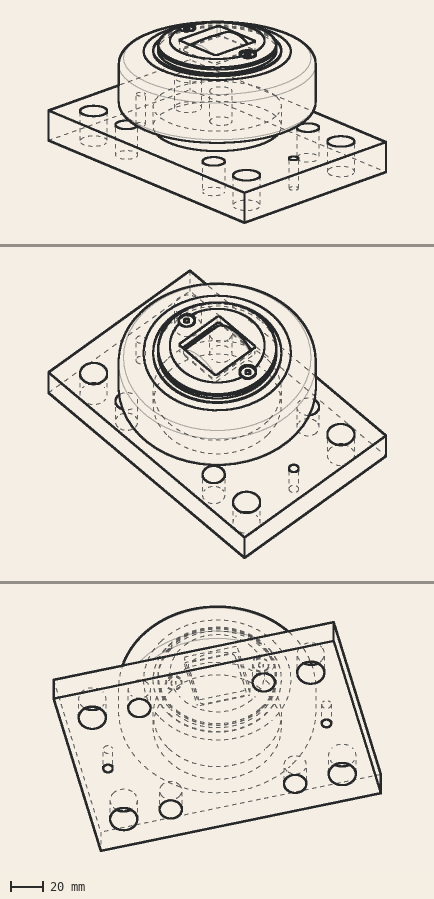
import cadquery as cq
import math

plate_length = 180
plate_width = 120.0
plate_height = 20.3
bolt_diameter = 17.0
bolt_x = 70.2
bolt_y = 40.0
inner_bolt_diameter = 13.9
inner_bolt_offset = 40.0
pin_diameter = 6.0

hub_diameter = 80.0
hub_top = 71.6

wheel_diameter = 123.0
wheel_radius = wheel_diameter / 2
wheel_bottom = 33.8
wheel_top = 71.0
wheel_bottom_fillet = 3.2
wheel_top_fillet = 4.7
cone_top_radius = 45.9
cone_angle = 20

cap_diameter = 74.0
cap_radius = cap_diameter / 2
cap_face_radius = 29.5
cap_rim_top = 75.6
cap_seam = 74.2
cap_upper_radius = 36.7
cap_top = cap_rim_top + (cap_upper_radius - cap_face_radius) * math.tan(math.radians(cone_angle))

screw_x = 28.0
screw_recess_diameter = 10.5
screw_diameter = 9.7
screw_recess_depth = 1.0
screw_head_gap = 0.5
socket_diameter = 3.2
socket_depth = 0.9

pocket_size = 34.0
pocket_corner = 1.5
overall_height = 79.5
roller_radius = 20.0
roller_edge_radius = 19.3
roller_length = 33.0
roller_fillet = 2.3
roller_visible_width = 30.0
roller_axis_z = overall_height - roller_radius
pocket_floor = 72


def cylinder_at(x, bottom, diameter, height):
    return cq.Workplane("XY").workplane(offset=bottom).center(x, 0).circle(diameter / 2).extrude(height)


def make_plate():
    plate = cq.Workplane("XY").box(plate_length, plate_width, plate_height, centered=(True, True, False))
    top = plate.faces(">Z").workplane(origin=(0, 0, plate_height))
    plate = top.rarray(2 * bolt_x, 2 * bolt_y, 2, 2).hole(bolt_diameter)
    top = plate.faces(">Z").workplane(origin=(0, 0, plate_height))
    plate = top.rarray(2 * inner_bolt_offset, 2 * inner_bolt_offset, 2, 2).hole(inner_bolt_diameter)
    top = plate.faces(">Z").workplane(origin=(0, 0, plate_height))
    return top.pushPoints([(-bolt_x, 0), (bolt_x, 0)]).hole(pin_diameter)


def make_hub():
    return cylinder_at(0, plate_height, hub_diameter, hub_top - plate_height)


def make_wheel():
    cone_drop = (wheel_radius - cone_top_radius) * math.tan(math.radians(cone_angle))
    profile = (
        cq.Workplane("XZ")
        .moveTo(0, wheel_bottom)
        .lineTo(wheel_radius, wheel_bottom)
        .lineTo(wheel_radius, wheel_top - cone_drop)
        .lineTo(cone_top_radius, wheel_top)
        .lineTo(0, wheel_top)
        .close()
    )
    wheel = profile.revolve(360, (0, 0, 0), (0, 1, 0))
    wheel = wheel.faces("<Z").edges().fillet(wheel_bottom_fillet)
    rim_height = wheel_top - cone_drop
    rim = cq.selectors.NearestToPointSelector((0, 0, rim_height))
    return wheel.edges("%CIRCLE").edges(rim).fillet(wheel_top_fillet)


def make_cap():
    return (
        cq.Workplane("XZ")
        .moveTo(0, wheel_top)
        .lineTo(cap_radius, wheel_top)
        .lineTo(cap_radius, cap_seam)
        .lineTo(cap_upper_radius, cap_seam)
        .lineTo(cap_upper_radius, cap_rim_top)
        .lineTo(cap_face_radius, cap_top)
        .lineTo(0, cap_top)
        .close()
        .revolve(360, (0, 0, 0), (0, 1, 0))
    )


def add_screw(body, x):
    recess_bottom = cap_top - screw_recess_depth
    head_top = cap_top - screw_head_gap
    recess = cylinder_at(x, recess_bottom, screw_recess_diameter, screw_recess_depth)
    head = cylinder_at(x, recess_bottom, screw_diameter, head_top - recess_bottom)
    socket = cylinder_at(x, head_top - socket_depth, socket_diameter, socket_depth)
    return body.cut(recess).union(head).cut(socket)


def make_pocket():
    return (
        cq.Workplane("XY")
        .workplane(offset=pocket_floor)
        .rect(pocket_size, pocket_size)
        .extrude(cap_top - pocket_floor)
        .edges("|Z")
        .fillet(pocket_corner)
    )


def make_roller():
    half = roller_length / 2
    roller = (
        cq.Workplane("XY")
        .moveTo(0, -half)
        .lineTo(roller_edge_radius, -half)
        .threePointArc((roller_radius, 0), (roller_edge_radius, half))
        .lineTo(0, half)
        .close()
        .revolve(360, (0, 0, 0), (0, 1, 0))
        .faces("<Y or >Y")
        .edges()
        .fillet(roller_fillet)
    )
    roller = roller.translate((0, 0, roller_axis_z))
    window = (
        cq.Workplane("XY")
        .workplane(offset=roller_axis_z)
        .rect(roller_visible_width, roller_length)
        .extrude(roller_radius)
    )
    return roller.intersect(window)


result = make_plate().union(make_hub()).union(make_wheel()).union(make_cap())
result = result.cut(make_pocket()).union(make_roller())
for side in (-1, 1):
    result = add_screw(result, side * screw_x)